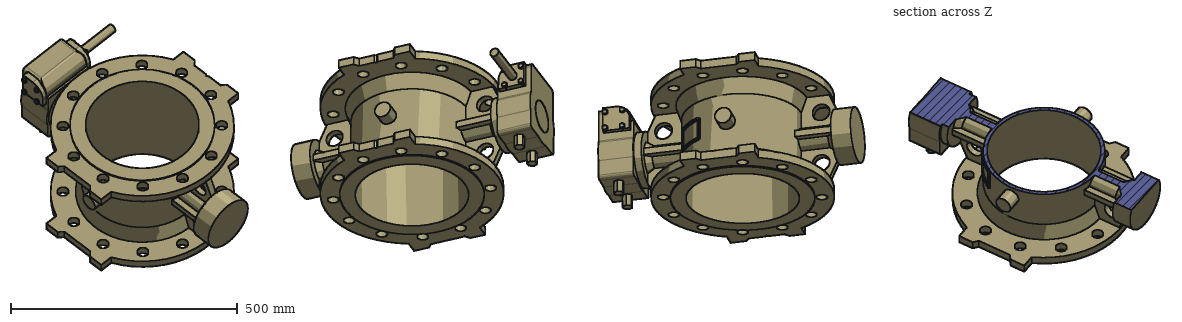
import cadquery as cq
import math

BODY_LENGTH = 250.0
BORE_DIA = 250.0
RAISED_FACE_DIA = 319.0
RAISED_FACE_HEIGHT = 3.0
FLANGE_DIA = 405.0
FLANGE_THICKNESS = 19.5
BARREL_DIA = 269.5
BARREL_HALF_LENGTH = 66.5
NECK_DIA = 294.5

BOLT_COUNT = 12
BOLT_CIRCLE_DIA = 350.0
BOLT_HOLE_DIA = 25.0

FOOT_WIDTH = 170.0
FEET_SPAN = 430.0
RELIEF_WIDTH_OUTER = 99.0
RELIEF_WIDTH_INNER = 81.5
RELIEF_DEPTH = 11.0
MARK_WIDTH = 8.0
MARK_DEPTH = 3.0

SHAFT_Y = 4.5
WEB_THICKNESS = 15.5
WEB_REACH = 216.0
WEB_REACH_AT_FLANGE = 198.5
WEB_TIP_HALF_HEIGHT = 63.0
WEB_HOLE_DIA = 39.0
WEB_HOLE_X = 180.0
WEB_HOLE_Z = 62.0
CROSS_RIB_WIDTH = 85.0
TUBE_DIA = 57.0
FLARE_DIA = 77.0
FLARE_START = 200.5
COLLAR_DIA = 125.0
COLLAR_END = 261.5

PIN_DIA = 37.5
PIN_SPAN = 334.5
PLATE_ANGLE = 225
PLATE_WIDTH = 74.0
PLATE_HEIGHT = 54.0
PLATE_RIM = 5.0
PLATE_RISE = 3.0
PLATE_CORNER_RADIUS = 5.0

BOX_BACK_X = -313.5
BOX_FRONT_X = -233.5
BOX_UPPER_FRONT_X = -240.0
BOX_TOP_Z = 104.5
BOX_BOTTOM_Z = -65.0
BOX_LIP_TOP_Z = 68.0
BOX_UPPER_WIDTH = 126.0
BOX_LOWER_WIDTH = 130.5
BOX_TOP_RADIUS = 10.0
BOX_BOTTOM_RADIUS = 8.5
BOX_NOSE_RADIUS = 27.5
HUB_DIA = 137.0
HUB_BLEND_RADIUS = 9.0
INDICATOR_DIA = 73.0
INDICATOR_DEPTH = 0.5

COVER_BACK_X = -301.0
COVER_BOTTOM_Z = 46.0
COVER_TOP_Z = 102.5
COVER_NOSE_RADIUS = 32.0
COVER_SPAN = 148.5
SCREW_ACROSS_FLATS = 10.5
SCREW_HEIGHT = 5.0
SCREW_XS = (-295.0, -256.0)
SCREW_ZS = (52.0, 91.0)

INPUT_X = -274.0
INPUT_Z = 71.5
INPUT_DIA = 20.0
INPUT_END_Y = 183.5

STOP_ACROSS_FLATS = 20.0
STOP_OFFSET = 36.0
STOP_BOTTOM_Z = -92.5

HALF_LENGTH = BODY_LENGTH / 2
FLANGE_TOP_Z = HALF_LENGTH - RAISED_FACE_HEIGHT
FLANGE_BOTTOM_Z = FLANGE_TOP_Z - FLANGE_THICKNESS


def cylinder_x(diameter, x_start, x_end):
    """Cylinder on the shaft axis between two X places."""
    return (
        cq.Workplane("YZ", origin=(x_start, SHAFT_Y, 0))
        .circle(diameter / 2)
        .extrude(x_end - x_start)
    )


def block(x_start, x_end, width, z_start, z_end):
    """Box between X and Z places, centred in Y on the shaft axis."""
    return cq.Workplane("XY").box(
        x_end - x_start, width, z_end - z_start, centered=(False, True, False)
    ).translate((x_start, SHAFT_Y, z_start))


def make_barrel():
    """Revolved body with its raised faces; the bore is cut later."""
    half_profile = [
        (0, HALF_LENGTH),
        (RAISED_FACE_DIA / 2, HALF_LENGTH),
        (RAISED_FACE_DIA / 2, FLANGE_BOTTOM_Z),
        (NECK_DIA / 2, FLANGE_BOTTOM_Z),
        (BARREL_DIA / 2, BARREL_HALF_LENGTH),
    ]
    mirrored = [(radius, -z) for radius, z in reversed(half_profile)]
    outline = cq.Workplane("XZ").polyline(half_profile + mirrored).close()
    return outline.revolve(360, (0, 0, 0), (0, 1, 0))


def make_flange(z_start):
    """Drilled round flange with two relieved feet."""
    half_span = FEET_SPAN / 2
    relief_y = half_span - RELIEF_DEPTH
    flange = (
        cq.Workplane("XY")
        .circle(FLANGE_DIA / 2)
        .extrude(FLANGE_THICKNESS)
        .union(cq.Workplane("XY").rect(FOOT_WIDTH, FEET_SPAN).extrude(FLANGE_THICKNESS))
    )
    relief = (
        cq.Workplane("XY")
        .polyline([
            (-RELIEF_WIDTH_OUTER / 2, half_span),
            (-RELIEF_WIDTH_INNER / 2, relief_y),
            (RELIEF_WIDTH_INNER / 2, relief_y),
            (RELIEF_WIDTH_OUTER / 2, half_span),
        ])
        .close()
        .extrude(FLANGE_THICKNESS)
    )
    mark = (
        cq.Workplane("XY")
        .polyline([(-MARK_WIDTH / 2, relief_y), (0, relief_y - MARK_DEPTH), (MARK_WIDTH / 2, relief_y)])
        .close()
        .extrude(FLANGE_THICKNESS)
    )
    bolt_holes = (
        cq.Workplane("XY")
        .polarArray(BOLT_CIRCLE_DIA / 2, 180 / BOLT_COUNT, 360, BOLT_COUNT)
        .circle(BOLT_HOLE_DIA / 2)
        .extrude(FLANGE_THICKNESS)
    )
    flange = flange.cut(relief).cut(relief.mirror("XZ")).cut(mark).cut(bolt_holes)
    return flange.translate((0, 0, z_start))


def make_shaft_support():
    """Drilled web, cross rib and flared tube on the +X side."""
    web = (
        cq.Workplane("XZ", origin=(0, SHAFT_Y + WEB_THICKNESS / 2, 0))
        .polyline([
            (0, FLANGE_BOTTOM_Z),
            (WEB_REACH_AT_FLANGE, FLANGE_BOTTOM_Z),
            (WEB_REACH, WEB_TIP_HALF_HEIGHT),
            (WEB_REACH, -WEB_TIP_HALF_HEIGHT),
            (WEB_REACH_AT_FLANGE, -FLANGE_BOTTOM_Z),
            (0, -FLANGE_BOTTOM_Z),
        ])
        .close()
        .pushPoints([(WEB_HOLE_X, WEB_HOLE_Z), (WEB_HOLE_X, -WEB_HOLE_Z)])
        .circle(WEB_HOLE_DIA / 2)
        .extrude(WEB_THICKNESS)
    )
    cross_rib = block(0, WEB_REACH, CROSS_RIB_WIDTH, -WEB_THICKNESS / 2, WEB_THICKNESS / 2)
    tube = cylinder_x(TUBE_DIA, 0, WEB_REACH)
    flare = (
        cq.Workplane("YZ", origin=(FLARE_START, SHAFT_Y, 0))
        .circle(TUBE_DIA / 2)
        .workplane(offset=WEB_REACH - FLARE_START)
        .circle(FLARE_DIA / 2)
        .loft()
    )
    return web.union(cross_rib).union(tube).union(flare)


def make_nameplate_frame():
    """Raised rectangular rim that follows the barrel."""
    outer = cq.Workplane("YZ").rect(PLATE_WIDTH, PLATE_HEIGHT).extrude(BARREL_DIA)
    outer = outer.edges("|X").fillet(PLATE_CORNER_RADIUS)
    opening = (
        cq.Workplane("YZ")
        .rect(PLATE_WIDTH - 2 * PLATE_RIM, PLATE_HEIGHT - 2 * PLATE_RIM)
        .extrude(BARREL_DIA)
    )
    sleeve = (
        cq.Workplane("XY")
        .circle(BARREL_DIA / 2 + PLATE_RISE)
        .circle(BORE_DIA / 2)
        .extrude(PLATE_HEIGHT / 2, both=True)
    )
    frame = outer.cut(opening).intersect(sleeve)
    return frame.rotate((0, 0, 0), (0, 0, 1), PLATE_ANGLE)


def nosed_block(x_start, width, z_start, z_end, nose_radius):
    """Block up to the set-back front face with its +X top edge rounded across Y."""
    square_block = block(x_start, BOX_UPPER_FRONT_X, width, z_start, z_end)
    return square_block.edges(">X and >Z").fillet(nose_radius)


def corner_size(across_flats):
    """Corner-to-corner size of a hexagon of the given width across flats."""
    return across_flats / math.cos(math.pi / 6)


def make_gearbox():
    """Gearbox housing with its round hub, covers, input shaft and stop screws."""
    upper = block(BOX_BACK_X, BOX_UPPER_FRONT_X, BOX_UPPER_WIDTH, 0, BOX_TOP_Z)
    upper = upper.edges("|X and >Z").fillet(BOX_TOP_RADIUS)
    upper = upper.intersect(nosed_block(BOX_BACK_X, BOX_UPPER_WIDTH, 0, BOX_TOP_Z, BOX_NOSE_RADIUS))
    lip = block(BOX_BACK_X, BOX_FRONT_X, BOX_UPPER_WIDTH, 0, BOX_LIP_TOP_Z)
    lower = block(BOX_BACK_X, BOX_FRONT_X, BOX_LOWER_WIDTH, BOX_BOTTOM_Z, 0)
    lower = lower.edges("|X and <Z").fillet(BOX_BOTTOM_RADIUS)
    hub = cylinder_x(HUB_DIA, BOX_BACK_X, BOX_FRONT_X)

    hub_edge_z = math.sqrt(HUB_DIA**2 - BOX_UPPER_WIDTH**2) / 2
    edge_zone = cq.selectors.BoxSelector(
        (BOX_BACK_X, SHAFT_Y - HUB_DIA, hub_edge_z - HUB_BLEND_RADIUS),
        (BOX_FRONT_X, SHAFT_Y + HUB_DIA, hub_edge_z + HUB_BLEND_RADIUS),
    )
    core = hub.union(lip).edges("|X").edges(edge_zone).fillet(HUB_BLEND_RADIUS)
    gearbox = core.union(upper).union(lower)

    covers = nosed_block(COVER_BACK_X, COVER_SPAN, COVER_BOTTOM_Z, COVER_TOP_Z, COVER_NOSE_RADIUS)
    screw_half_span = COVER_SPAN / 2 + SCREW_HEIGHT
    screws = (
        cq.Workplane("XZ", origin=(0, SHAFT_Y, 0))
        .transformed(rotate=(0, 0, 90))
        .pushPoints([(z, -x) for x in SCREW_XS for z in SCREW_ZS])
        .polygon(6, corner_size(SCREW_ACROSS_FLATS))
        .extrude(screw_half_span, both=True)
    )
    input_shaft = (
        cq.Workplane("XZ", origin=(INPUT_X, INPUT_END_Y, INPUT_Z))
        .circle(INPUT_DIA / 2)
        .extrude(INPUT_END_Y - SHAFT_Y)
    )
    stops = (
        cq.Workplane("XY", origin=(INPUT_X, SHAFT_Y, STOP_BOTTOM_Z))
        .transformed(rotate=(0, 0, 90))
        .pushPoints([(-STOP_OFFSET, 0), (STOP_OFFSET, 0)])
        .polygon(6, corner_size(STOP_ACROSS_FLATS))
        .extrude(-STOP_BOTTOM_Z)
    )
    gearbox = gearbox.union(covers).union(screws).union(input_shaft).union(stops)
    return gearbox.cut(cylinder_x(INDICATOR_DIA, BOX_BACK_X, BOX_BACK_X + INDICATOR_DEPTH))


shaft_support = make_shaft_support()
pins = cq.Workplane("XZ").circle(PIN_DIA / 2).extrude(PIN_SPAN / 2, both=True)
bore = cq.Workplane("XY", origin=(0, 0, -HALF_LENGTH)).circle(BORE_DIA / 2).extrude(BODY_LENGTH)

result = (
    make_barrel()
    .union(make_flange(FLANGE_BOTTOM_Z))
    .union(make_flange(-FLANGE_TOP_Z))
    .union(shaft_support)
    .union(shaft_support.mirror("YZ"))
    .union(cylinder_x(COLLAR_DIA, WEB_REACH, COLLAR_END))
    .union(cylinder_x(COLLAR_DIA, BOX_FRONT_X, -WEB_REACH))
    .union(make_nameplate_frame())
    .union(pins)
    .union(make_gearbox())
    .cut(bore)
)